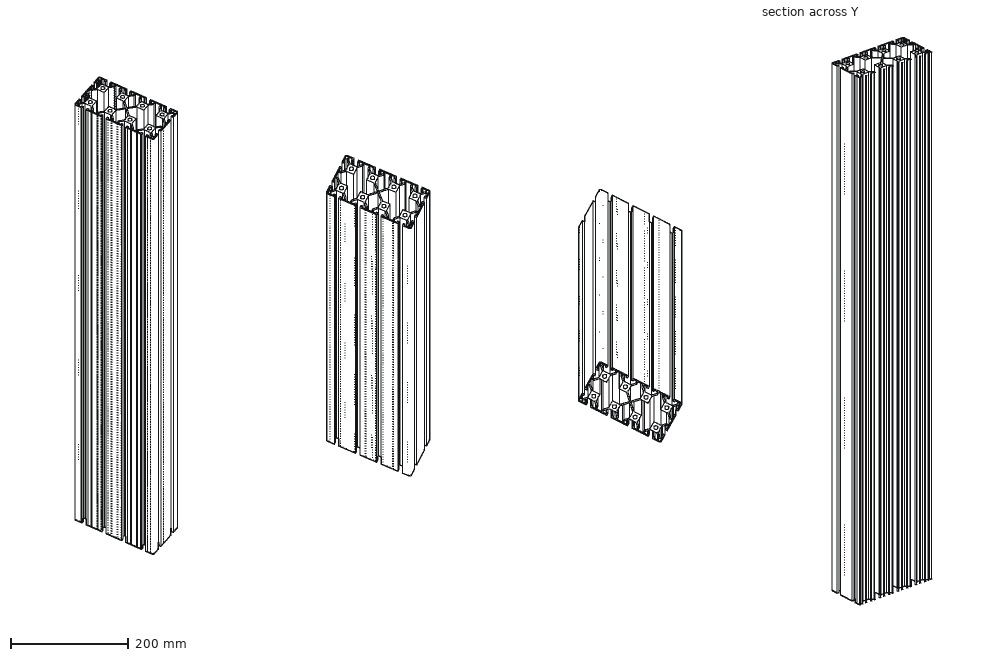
import cadquery as cq
import math

module = 40.0
columns = 4
rows = 2
length = 1000.0
width = columns * module
depth = rows * module
corner_radius = 3.0

corner_bore_diameter = 5.0
corner_bore_inset = 4.0

core_half_width = 7.8
core_bore_diameter = 6.8

slot_opening = 8.2
lip_thickness = 4.5
slot_half_width = 13.0
slot_floor = module / 2 - core_half_width
slot_floor_half_width = 6.0
lip_root_half_width = 7.0
lip_root_thickness = 2.0

outer_wall = 2.0
neck_half_width = 5.0
chamber_half_width = module / 2 - core_half_width
shoulder_end = module - outer_wall - neck_half_width
shoulder_start = module - outer_wall - chamber_half_width

cross_web_thickness = 2.5
cross_web_gap = cross_web_thickness / math.sqrt(2)


def mirrored_prism(half_outline):
    """Extrude an outline given by its +X half, listed with rising Y."""
    other_half = [(-x, y) for x, y in reversed(half_outline) if x > 0]
    return cq.Workplane("XY").polyline(half_outline + other_half).close().extrude(length)


def placed(shape, x, y, angle=0):
    """Turn a shape about Z, then move it to (x, y)."""
    return shape.rotate((0, 0, 0), (0, 0, 1), angle).translate((x, y, 0))


def make_slot():
    """T-slot open toward +Y, with the outer face at Y = 0."""
    taper_start = slot_floor - (slot_half_width - slot_floor_half_width)
    return mirrored_prism([
        (slot_floor_half_width, -slot_floor),
        (slot_half_width, -taper_start),
        (slot_half_width, -lip_root_thickness),
        (lip_root_half_width, -lip_root_thickness),
        (lip_root_half_width, -lip_thickness),
        (slot_opening / 2, -lip_thickness),
        (slot_opening / 2, 0),
    ])


def make_wall_arm(inner_end):
    """Chamber arm toward +Y, from the given inner end to an outer wall one module away."""
    return mirrored_prism(inner_end + [
        (chamber_half_width, shoulder_start),
        (neck_half_width, shoulder_end),
        (neck_half_width, module - outer_wall),
    ])


def make_end_chamber():
    """Cross-shaped chamber: three arms end at outer walls, the +X arm at the crossing webs."""
    square_end = [(chamber_half_width, -chamber_half_width)]
    web_tip = module - cross_web_gap
    chamber = placed(
        mirrored_prism(square_end + [
            (chamber_half_width, web_tip - chamber_half_width),
            (0, web_tip),
        ]),
        0, 0, -90,
    )
    wall_arm = make_wall_arm(square_end)
    for angle in (0, 90, 180):
        chamber = chamber.union(placed(wall_arm, 0, 0, angle))
    return chamber


def make_middle_chamber():
    """Chamber from the crossing webs at the profile centre to the +Y wall."""
    return make_wall_arm([
        (0, cross_web_gap),
        (chamber_half_width, cross_web_gap + chamber_half_width),
    ])


column_centers = [(i - (columns - 1) / 2) * module for i in range(columns)]
row_centers = [(i - (rows - 1) / 2) * module for i in range(rows)]

result = cq.Workplane("XY").rect(width, depth).extrude(length).edges("|Z").fillet(corner_radius)

slot = make_slot()
for x in column_centers:
    result = result.cut(placed(slot, x, depth / 2))
    result = result.cut(placed(slot, x, -depth / 2, 180))
for y in row_centers:
    result = result.cut(placed(slot, width / 2, y, -90))
    result = result.cut(placed(slot, -width / 2, y, 90))

end_chamber = placed(make_end_chamber(), -module, 0)
middle_chamber = make_middle_chamber()
for angle in (0, 180):
    result = result.cut(placed(end_chamber, 0, 0, angle))
    result = result.cut(placed(middle_chamber, 0, 0, angle))

bore_centers = [(x, y) for x in column_centers for y in row_centers]
bores = cq.Workplane("XY").pushPoints(bore_centers).circle(core_bore_diameter / 2).extrude(length)
result = result.cut(bores)

corner_bores = (
    cq.Workplane("XY")
    .rect(width - 2 * corner_bore_inset, depth - 2 * corner_bore_inset, forConstruction=True)
    .vertices()
    .circle(corner_bore_diameter / 2)
    .extrude(length)
)
result = result.cut(corner_bores)